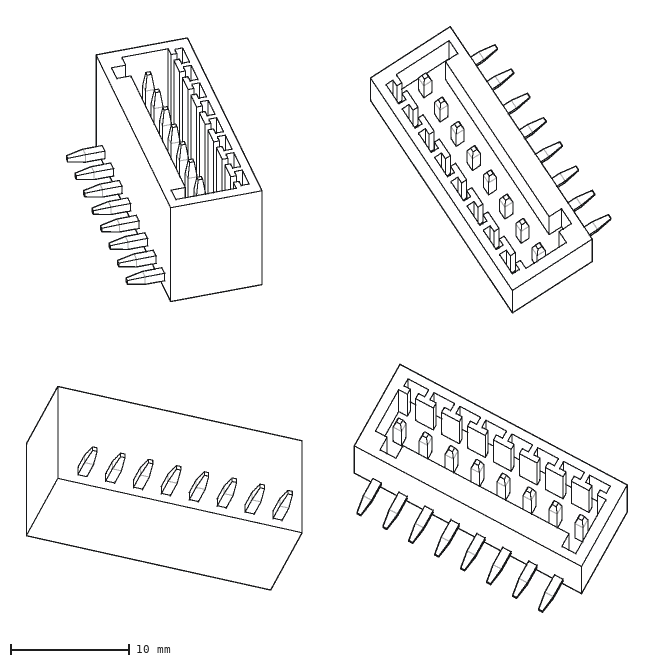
import cadquery as cq

LENGTH = 21.9
DEPTH = 8.08
HEIGHT = 10.1

END_WALL = 0.96
FLOOR_TOP = 2.0
CAVITY_FRONT = 2.0
CAVITY_BACK = 6.09

KEY_SLOT_FRONT = 0.75
LEFT_KEY_OFFSET = 2.08
LEFT_KEY_WIDTH = 1.53
RIGHT_KEY_WIDTH = 1.34

GROOVE_MOUTH = 0.79
GROOVE_WIDTH = 2.0
GROOVE_NECK_END = 6.6
GROOVE_BACK = 7.3

PIN_COUNT = 8
PIN_SPAN = 17.5
PIN_SIZE = 0.8
PIN_TIP = 0.4
TAPER = 1.51
TAIL_REACH = 3.22
TAIL_HEIGHT = 1.3
POST_Y = 3.99
POST_TOP = 8.85

cavity_left = END_WALL - LENGTH / 2
cavity_right = -cavity_left
pitch = PIN_SPAN / (PIN_COUNT - 1)
pin_positions = [i * pitch - PIN_SPAN / 2 for i in range(PIN_COUNT)]


def block(x_range, y_range, z_range):
    """Axis-aligned box between the given limits."""
    size = [high - low for low, high in (x_range, y_range, z_range)]
    corner = (x_range[0], y_range[0], z_range[0])
    return cq.Workplane("XY").box(*size, centered=False).translate(corner)


def recess(x_left, x_right, y_front, y_back):
    """Cutter that runs from the cavity floor out through the open top."""
    return block((x_left, x_right), (y_front, y_back), (FLOOR_TOP, HEIGHT))


def key_slots():
    """The two recesses of unequal width that key the mating plug."""
    left_start = LEFT_KEY_OFFSET - LENGTH / 2
    left_slot = recess(left_start, left_start + LEFT_KEY_WIDTH, KEY_SLOT_FRONT, CAVITY_FRONT)
    right_slot = recess(cavity_right - RIGHT_KEY_WIDTH, cavity_right, KEY_SLOT_FRONT, CAVITY_FRONT)
    return left_slot.union(right_slot)


def t_groove(x):
    """T-shaped groove: a narrow mouth in front of a wider channel."""
    neck = recess(x - GROOVE_MOUTH / 2, x + GROOVE_MOUTH / 2, CAVITY_BACK, GROOVE_NECK_END)
    channel = recess(x - GROOVE_WIDTH / 2, x + GROOVE_WIDTH / 2, GROOVE_NECK_END, GROOVE_BACK)
    return neck.union(channel)


def tapered_bar(plane, length):
    """Square bar along the plane normal, narrowing to a small flat tip at its end."""
    straight = length - TAPER
    bar = cq.Workplane(plane).rect(PIN_SIZE, PIN_SIZE).extrude(straight)
    tip = (
        cq.Workplane(plane)
        .workplane(offset=straight)
        .rect(PIN_SIZE, PIN_SIZE)
        .workplane(offset=TAPER)
        .rect(PIN_TIP, PIN_TIP)
        .loft(combine=True)
    )
    return bar.union(tip)


def pin(x):
    """One right-angle pin: a post in the cavity and a tail out of the mounting face."""
    half = PIN_SIZE / 2
    post_base = TAIL_HEIGHT - half
    tail_back = POST_Y + half
    post = tapered_bar("XY", POST_TOP - post_base).translate((x, POST_Y, post_base))
    tail = tapered_bar("XZ", tail_back + TAIL_REACH).translate((x, tail_back, TAIL_HEIGHT))
    return post.union(tail)


def housing_shell():
    """Open-topped housing with its cavity, key slots and grooves."""
    shell = block((-LENGTH / 2, LENGTH / 2), (0, DEPTH), (0, HEIGHT))
    shell = shell.cut(recess(cavity_left, cavity_right, CAVITY_FRONT, CAVITY_BACK))
    shell = shell.cut(key_slots())
    for x in pin_positions:
        shell = shell.cut(t_groove(x))
    return shell


loose_pins = [pin(x) for x in pin_positions[1:]]
housing = housing_shell().union(pin(pin_positions[0]))
for loose_pin in loose_pins:
    housing = housing.cut(loose_pin)

result = cq.Compound.makeCompound([housing.val(), *[loose_pin.val() for loose_pin in loose_pins]])